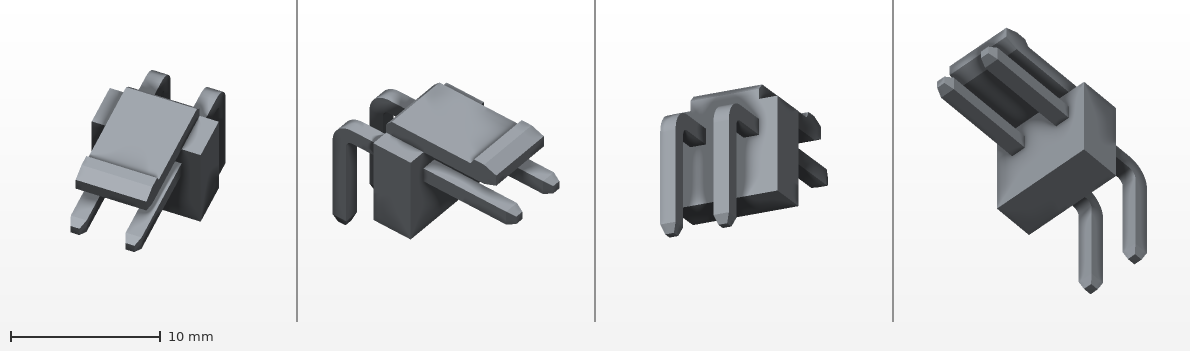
import cadquery as cq
import math


block_width = 7.86
block_depth = 3.19
block_height = 6.8

pin_count = 2
pin_pitch = 3.96
pin_size = 1.15
pin_axis_z = 4.8
pin_front_reach = 7.72
pin_back_reach = 7.75
tail_drop = 3.59
bend_inner_radius = 0.53
bend_outer_radius = bend_inner_radius + pin_size
tip_length = 0.67
tip_size = 0.65

arm_width = (pin_count - 1) * pin_pitch + pin_size
arm_thickness = 1.2
arm_back_chamfer = 0.48
arm_reach = 6.2
hook_height = 1.7
hook_back_reach = 4.02
hook_crest_reach = 4.32
nose_length = 1.04
nose_slope = 0.4


def make_housing():
    """Rectangular block with the hooked locking arm as one solid."""
    block = cq.Workplane("XY").box(
        block_width, block_depth, block_height, centered=(True, False, False)
    )
    arm_bottom = block_height
    arm_top = arm_bottom + arm_thickness
    hook_top = arm_bottom + hook_height
    nose_start = -arm_reach + nose_length
    arm = (
        cq.Workplane("YZ")
        .moveTo(block_depth, arm_bottom)
        .lineTo(block_depth, arm_top - arm_back_chamfer)
        .lineTo(block_depth - arm_back_chamfer, arm_top)
        .lineTo(-hook_back_reach, arm_top)
        .lineTo(-hook_crest_reach, hook_top)
        .lineTo(nose_start, hook_top)
        .lineTo(-arm_reach, hook_top - nose_slope)
        .lineTo(-arm_reach, arm_bottom + nose_slope)
        .lineTo(nose_start, arm_bottom)
        .close()
        .extrude(arm_width / 2, both=True)
    )
    return block.union(arm)


def make_pin(x):
    """Square pin bent down at the back, with a tapered tip at each end."""
    top = pin_axis_z + pin_size / 2
    bottom = pin_axis_z - pin_size / 2
    back = pin_back_reach
    tail_front = back - pin_size
    front_shoulder = -pin_front_reach + tip_length
    tail_shoulder = -tail_drop + tip_length
    bend_y = back - bend_outer_radius
    bend_z = top - bend_outer_radius
    diagonal = math.sqrt(0.5)
    outer_mid = bend_outer_radius * diagonal
    inner_mid = bend_inner_radius * diagonal
    shank = (
        cq.Workplane("YZ", origin=(x, 0, 0))
        .moveTo(front_shoulder, top)
        .lineTo(bend_y, top)
        .threePointArc((bend_y + outer_mid, bend_z + outer_mid), (back, bend_z))
        .lineTo(back, tail_shoulder)
        .lineTo(tail_front, tail_shoulder)
        .lineTo(tail_front, bend_z)
        .threePointArc((bend_y + inner_mid, bend_z + inner_mid), (bend_y, bottom))
        .lineTo(front_shoulder, bottom)
        .close()
        .extrude(pin_size / 2, both=True)
    )
    tail_center_y = back - pin_size / 2
    mating_tip = make_tip((x, front_shoulder, pin_axis_z), (0, -1, 0))
    solder_tip = make_tip((x, tail_center_y, tail_shoulder), (0, 0, -1))
    return shank.union(mating_tip).union(solder_tip)


def make_tip(base_center, direction):
    """Square taper from the full pin section down to the blunt end."""
    base = cq.Plane(origin=base_center, xDir=(1, 0, 0), normal=direction)
    return (
        cq.Workplane(base)
        .rect(pin_size, pin_size)
        .workplane(offset=tip_length)
        .rect(tip_size, tip_size)
        .loft(ruled=True)
    )


pins = []
for i in range(pin_count):
    pin_x = (i - (pin_count - 1) / 2) * pin_pitch
    pins.append(make_pin(pin_x))

housing = make_housing()
for pin in pins:
    housing = housing.cut(pin)

result = cq.Compound.makeCompound([housing.solids().val(), *[pin.solids().val() for pin in pins]])